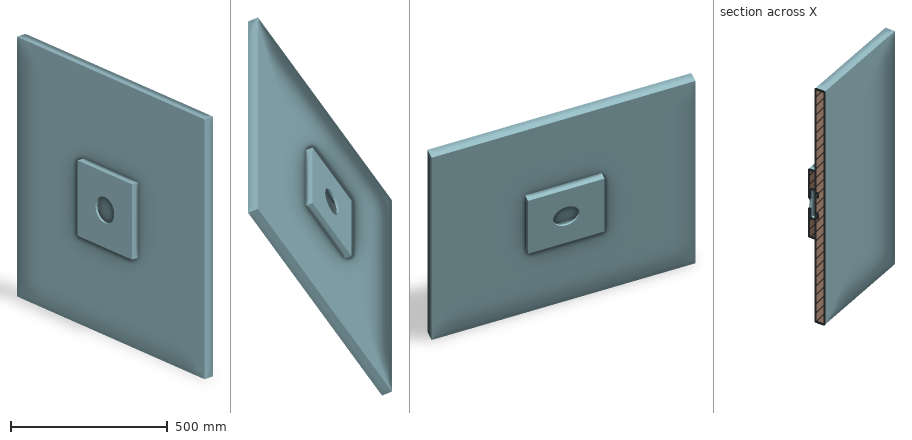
import cadquery as cq

PANEL_SIDE = 900.0
PANEL_THICKNESS = 36.0

COVER_SIDE = 261.0
COVER_DEPTH = 25.0
COVER_SKIN = 7.0
WINDOW_DIAMETER = 90.0
POCKET_SIDE = 112.0

HUB_SIDE = 51.0
SPOKE_WIDTH = 9.0
SPOKE_SPAN = POCKET_SIDE * 2**0.5 - SPOKE_WIDTH
CROSS_THICKNESS = 9.0
SPOKE_ANGLES = (45, -45)


def slab(width, height, y_front, y_back):
    """Centred rectangular block between two Y planes."""
    thickness = y_back - y_front
    return cq.Workplane("XY").box(width, thickness, height).translate((0, y_front + thickness / 2, 0))


def make_cross():
    """Hub and diagonal spokes as one solid."""
    cross = slab(HUB_SIDE, HUB_SIDE, 0, CROSS_THICKNESS)
    for angle in SPOKE_ANGLES:
        spoke = slab(SPOKE_SPAN, SPOKE_WIDTH, 0, CROSS_THICKNESS)
        cross = cross.union(spoke.rotate((0, 0, 0), (0, 1, 0), angle))
    return cross


def make_panel(cross):
    """Square sheet with a recess that fits the cross."""
    return slab(PANEL_SIDE, PANEL_SIDE, 0, PANEL_THICKNESS).cut(cross)


def make_cover():
    """Square box with a pocket behind a thin skin and a round window through the skin."""
    cover = slab(COVER_SIDE, COVER_SIDE, -COVER_DEPTH, 0)
    pocket = slab(POCKET_SIDE, POCKET_SIDE, COVER_SKIN - COVER_DEPTH, 0)
    window = cq.Workplane("XZ").circle(WINDOW_DIAMETER / 2).extrude(COVER_DEPTH)
    return cover.cut(pocket).cut(window)


cross = make_cross()
panel = make_panel(cross)
cover = make_cover()

result = cq.Compound.makeCompound([panel.val(), cross.val(), cover.val()])